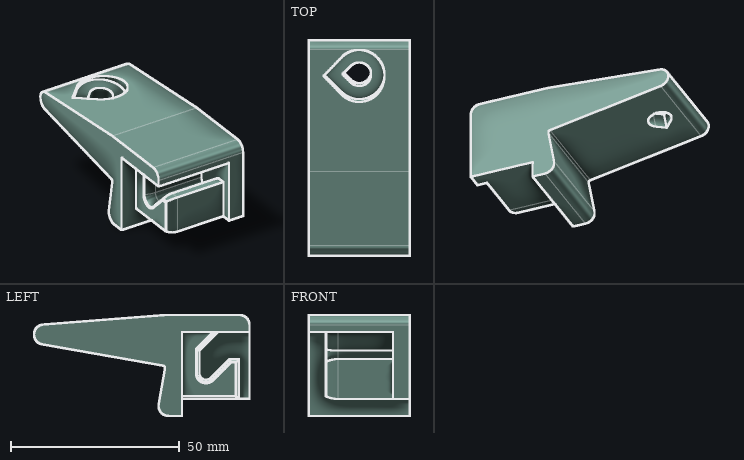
import cadquery as cq
import math

length = 63.9
width = 30.0
height = 30.0
wall = 5.05
edge_radius = 3.0
inner_corner_radius = 0.65
crease_y = 25.0
nose_z = 24.15
taper = math.radians(10)

recess_depth = 20.0
roof_z = height - wall
inner_x = width - wall

hook_front_y = 3.05
hook_top_z = 16.9
slot_back_y = 14.9
slot_radius = 2.0
slot_center_z = 12.7
slot_shoulder_z = 19.35
rounding_radius = 8.0
rounding_length = 3.6
chamfer = 0.2

hole_x = width / 2
hole_exit_y = 54.65
hole_radius = 3.5
head_radius = 7.5
head_seat = 5.0
cut_through = 19.2

slot_center_y = slot_back_y - slot_radius
nose_y = length - edge_radius


def underside_z(y):
    """Height of the sloping lever underside at depth y."""
    return nose_z - edge_radius / math.cos(taper) + (y - nose_y) * math.tan(taper)


def make_body():
    rise = height - nose_z
    reach = nose_y - crease_y
    top_angle = math.atan2(rise, reach) - math.asin(edge_radius / math.hypot(rise, reach))
    nose_top = (nose_y + edge_radius * math.sin(top_angle), nose_z + edge_radius * math.cos(top_angle))
    nose_bottom = (nose_y + edge_radius * math.sin(taper), nose_z - edge_radius * math.cos(taper))
    corner_z = underside_z(crease_y)
    foot_y = crease_y + corner_z * math.tan(taper)

    body = (
        cq.Workplane("YZ")
        .moveTo(0, 0)
        .lineTo(0, height)
        .lineTo(crease_y, height)
        .lineTo(*nose_top)
        .threePointArc((length, nose_z), nose_bottom)
        .lineTo(crease_y, corner_z)
        .lineTo(foot_y, 0)
        .close()
        .extrude(width)
    )

    def edge_at(y, z):
        return cq.selectors.NearestToPointSelector((width / 2, y, z))

    body = body.edges(edge_at(0, height)).fillet(edge_radius)
    body = body.edges(edge_at(foot_y, 0)).fillet(edge_radius)
    return body.edges(edge_at(crease_y, corner_z)).fillet(inner_corner_radius)


def cut_recess(body):
    below = cq.Workplane().box(width, recess_depth, wall, centered=False)
    open_side = cq.Workplane().box(wall, recess_depth, roof_z, centered=False)
    return body.cut(below).cut(open_side)


diagonal = slot_radius * math.sqrt(0.5)
slope_start = (slot_center_y - diagonal, slot_center_z - diagonal)
hook_top_back_y = slope_start[0] - (hook_top_z - slope_start[1])
overrun = wall / 2
ceiling_end = (slot_back_y - (roof_z + overrun - slot_shoulder_z), roof_z + overrun)


def trace_hook(path):
    """Follow the hook from its front bottom edge round the slot to above the roof."""
    return (
        path.lineTo(hook_front_y, hook_top_z)
        .lineTo(hook_top_back_y, hook_top_z)
        .lineTo(*slope_start)
        .threePointArc(
            (
                slot_center_y + slot_radius * math.sin(math.pi / 8),
                slot_center_z - slot_radius * math.cos(math.pi / 8),
            ),
            (slot_back_y, slot_center_z),
        )
        .lineTo(slot_back_y, slot_shoulder_z)
        .lineTo(*ceiling_end)
    )


def below_roof(cutter):
    space = cq.Workplane().box(width, recess_depth, roof_z, centered=False)
    return cutter.intersect(space)


def cut_slot(body):
    start = cq.Workplane("YZ", origin=(wall, 0, 0)).moveTo(hook_front_y, 0)
    outline = trace_hook(start).lineTo(0, ceiling_end[1]).lineTo(0, 0).close()
    return body.cut(below_roof(outline.extrude(inner_x - wall)))


def inset(distance):
    """Depth of the edge rounding at a distance from where it starts."""
    return rounding_radius - math.sqrt(rounding_radius**2 - distance**2)


def round_hook_edges(body):
    """Sweep an arc-sided sliver along the hook edges on the open side."""
    start = cq.Workplane("YZ", origin=(wall, 0, 0)).moveTo(recess_depth, wall)
    path = trace_hook(start.lineTo(hook_front_y, wall))
    middle = rounding_length / 2
    cutter = (
        cq.Workplane("XZ", origin=(wall, recess_depth, wall))
        .lineTo(0, inset(rounding_length))
        .threePointArc((middle, inset(middle)), (rounding_length, 0))
        .close()
        .sweep(path, transition="right")
    )
    return body.cut(below_roof(cutter))


def bevel_hook_edges(body):
    """Bevel the rounded front, top and slot edges; the bottom edge stays sharp."""
    path = trace_hook(cq.Workplane("YZ", origin=(wall, 0, 0)).moveTo(hook_front_y, 0))
    cutter = (
        cq.Workplane("XY", origin=(wall, hook_front_y, 0))
        .lineTo(0, inset(rounding_length) + chamfer)
        .lineTo(chamfer, inset(rounding_length - chamfer))
        .lineTo(chamfer, 0)
        .close()
        .sweep(path, transition="right")
    )
    return body.cut(below_roof(cutter))


def cut_screw_hole(body):
    exit_plane = cq.Plane(
        origin=(hole_x, hole_exit_y, underside_z(hole_exit_y)),
        xDir=(1, 0, 0),
        normal=(0, -math.sin(taper), math.cos(taper)),
    )

    def teardrop(radius, start):
        tangent = radius * math.sqrt(0.5)
        return (
            cq.Workplane(exit_plane)
            .workplane(offset=start)
            .moveTo(-radius * math.sqrt(2), 0)
            .lineTo(-tangent, tangent)
            .threePointArc((radius, 0), (-tangent, -tangent))
            .close()
            .extrude(cut_through)
        )

    return body.cut(teardrop(hole_radius, -edge_radius)).cut(teardrop(head_radius, head_seat))


result = make_body()
result = cut_recess(result)
result = cut_slot(result)
result = round_hook_edges(result)
result = bevel_hook_edges(result)
result = cut_screw_hole(result)